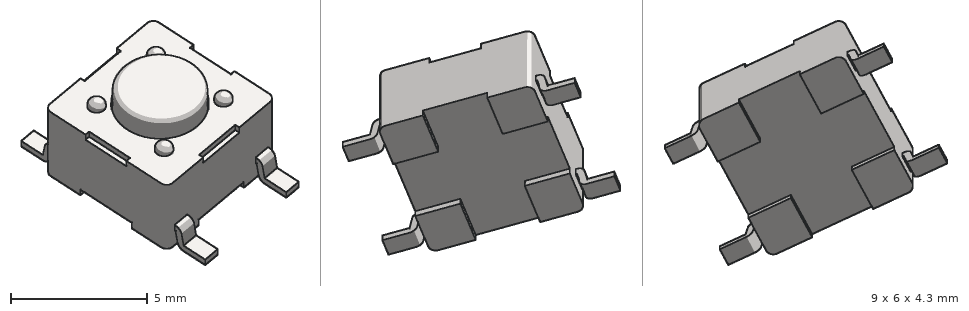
import cadquery as cq
import math


side = 6.0
corner_radius = 0.3
cover_top = 3.45
cover_thickness = 0.28
housing_height = cover_top - cover_thickness
cover_notch_width = 2.0
cover_notch_depth = 0.2
channel_width = 2.5
channel_height = 0.3

total_height = 4.3
button_diameter = 3.5
button_hole_diameter = 3.6
button_fillet = 0.2

rivet_diameter = 0.7
rivet_flat_diameter = 0.2
rivet_height = 0.3
rivet_offset = 1.65
rivet_fillet = (rivet_diameter - rivet_flat_diameter) / 2

lead_span = 9.0
lead_thickness = 0.3
lead_width = 0.7
lead_offset = 2.25
lead_top = 1.1
lead_slant = math.radians(10)
lead_shoulder_length = 0.05
lead_embed = 0.3


def rounded_square_plate(bottom, thickness):
    """Square slab with rounded vertical edges."""
    plate = cq.Workplane("XY").workplane(offset=bottom).rect(side, side).extrude(thickness)
    return plate.edges("|Z").fillet(corner_radius)


def make_housing():
    """Housing standing on four corner feet, left by two crossing channels."""
    housing = rounded_square_plate(0, housing_height)
    for size_x, size_y in ((channel_width, side), (side, channel_width)):
        channel = cq.Workplane("XY").rect(size_x, size_y).extrude(channel_height)
        housing = housing.cut(channel)
    return housing


def make_cover():
    """Cover plate with a button hole and a shallow notch in the middle of each side."""
    cover = rounded_square_plate(housing_height, cover_thickness)
    cover = cover.faces(">Z").workplane().hole(button_hole_diameter)
    notch = (
        cq.Workplane("XY")
        .workplane(offset=housing_height)
        .center(0, (side - cover_notch_depth) / 2)
        .rect(cover_notch_width, cover_notch_depth)
        .extrude(cover_thickness)
    )
    for angle in (0, 90, 180, 270):
        cover = cover.cut(notch.rotate((0, 0, 0), (0, 0, 1), angle))
    return cover


def make_button():
    """Round button standing on the housing, with clearance to the cover hole."""
    button = (
        cq.Workplane("XY")
        .workplane(offset=housing_height)
        .circle(button_diameter / 2)
        .extrude(total_height - housing_height)
    )
    return button.faces(">Z").edges().fillet(button_fillet)


def make_rivets():
    """Four domed rivet heads with a small flat on top."""
    rivets = (
        cq.Workplane("XY")
        .workplane(offset=cover_top)
        .rect(2 * rivet_offset, 2 * rivet_offset, forConstruction=True)
        .vertices()
        .circle(rivet_diameter / 2)
        .extrude(rivet_height)
    )
    return rivets.faces(">Z").edges().fillet(rivet_fillet)


def make_lead():
    """Gull-wing lead on the +X, +Y corner; both bends have a sharp inner corner."""
    upper_x = side / 2 + lead_shoulder_length
    upper_z = lead_top - lead_thickness
    lower_z = lead_thickness
    drop = upper_z - lower_z
    lower_x = upper_x + (lead_thickness + drop * math.sin(lead_slant)) / math.cos(lead_slant)

    def around(x, z, angle):
        """Point one lead thickness away from an inner corner."""
        return (x + lead_thickness * math.cos(angle), z + lead_thickness * math.sin(angle))

    upper_bend_middle = (lead_slant + math.pi / 2) / 2
    lower_bend_middle = upper_bend_middle + math.pi
    inner_end_x = side / 2 - lead_embed

    profile = (
        cq.Workplane("XZ", origin=(0, lead_offset, 0))
        .moveTo(inner_end_x, lead_top)
        .lineTo(upper_x, lead_top)
        .threePointArc(around(upper_x, upper_z, upper_bend_middle), around(upper_x, upper_z, lead_slant))
        .lineTo(lower_x, lower_z)
        .lineTo(lead_span / 2, lower_z)
        .lineTo(lead_span / 2, 0)
        .lineTo(lower_x, 0)
        .threePointArc(
            around(lower_x, lower_z, lower_bend_middle),
            around(lower_x, lower_z, lead_slant + math.pi),
        )
        .lineTo(upper_x, upper_z)
        .lineTo(inner_end_x, upper_z)
        .close()
    )
    return profile.extrude(lead_width / 2, both=True)


result = make_housing().union(make_cover()).union(make_button()).union(make_rivets())

right_rear_lead = make_lead()
right_leads = right_rear_lead.union(right_rear_lead.mirror("XZ"))
result = result.union(right_leads).union(right_leads.mirror("YZ"))